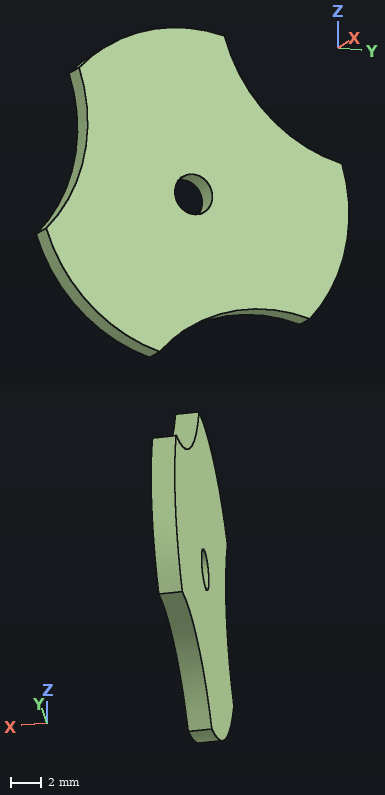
import cadquery as cq
import math

THICKNESS = 1.59
DISC_RADIUS = 11.305
BORE_DIAMETER = 2.71
SCALLOP_COUNT = 3
SCALLOP_RADIUS = 11.0
SCALLOP_CENTER_DISTANCE = 19.12
FIRST_SCALLOP_ANGLE = 48.0


def make_cylinder(radius, y, z):
    """Cylinder along X, as long as the plate is thick and centred on X = 0."""
    return (
        cq.Workplane("YZ", origin=(-THICKNESS / 2, y, z))
        .circle(radius)
        .extrude(THICKNESS)
    )


def cut_scallops(plate):
    """Concave bites spaced evenly around the rim, leaving three lobes."""
    for index in range(SCALLOP_COUNT):
        angle = math.radians(FIRST_SCALLOP_ANGLE + index * 360 / SCALLOP_COUNT)
        y = SCALLOP_CENTER_DISTANCE * math.cos(angle)
        z = SCALLOP_CENTER_DISTANCE * math.sin(angle)
        plate = plate.cut(make_cylinder(SCALLOP_RADIUS, y, z))
    return plate


def cut_bore(plate):
    """Through hole on the disc axis."""
    return plate.cut(make_cylinder(BORE_DIAMETER / 2, 0, 0))


disc = make_cylinder(DISC_RADIUS, 0, 0)
result = cut_bore(cut_scallops(disc))